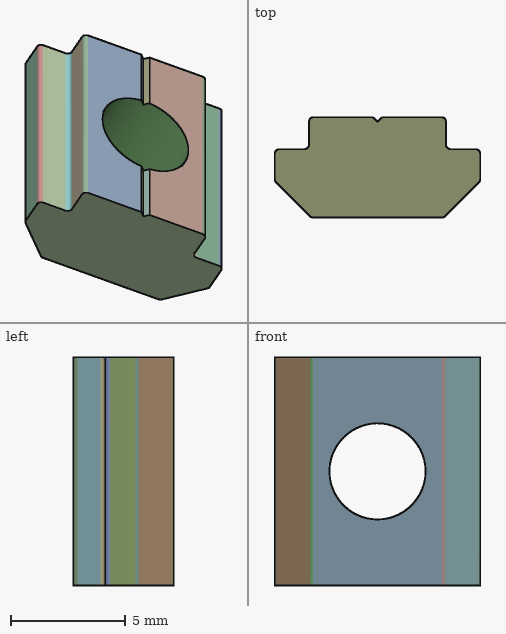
import cadquery as cq

width = 9.0
depth = 4.4
length = 10.0

neck_width = 6.0
neck_height = 1.4
bevel = 1.6
edge_radius = 0.2
notch_depth = 0.2

hole_diameter = 4.2

half_width = width / 2
half_neck = neck_width / 2
front_y = -depth / 2
back_y = depth / 2
shoulder_y = back_y - neck_height
bottom_z = -length / 2


def make_body():
    """T-shaped profile, mirrored about X = 0, extruded along Z with rounded long edges."""
    right_side = [
        (half_width - bevel, front_y),
        (half_width, front_y + bevel),
        (half_width, shoulder_y),
        (half_neck, shoulder_y),
        (half_neck, back_y),
    ]
    left_side = [(-x, y) for x, y in reversed(right_side)]
    profile = cq.Workplane("XY", origin=(0, 0, bottom_z)).polyline(right_side + left_side).close()
    body = profile.extrude(length)
    return body.edges("|Z").fillet(edge_radius)


def make_notch():
    """V-groove running the full length of the neck face."""
    profile = cq.Workplane("XY", origin=(0, 0, bottom_z)).polyline([
        (-notch_depth, back_y),
        (0, back_y - notch_depth),
        (notch_depth, back_y),
    ]).close()
    return profile.extrude(length)


def make_hole():
    """Cylinder through the full depth of the nut, along Y."""
    return cq.Workplane("XZ", origin=(0, back_y, 0)).circle(hole_diameter / 2).extrude(depth)


result = make_body().cut(make_notch()).cut(make_hole())